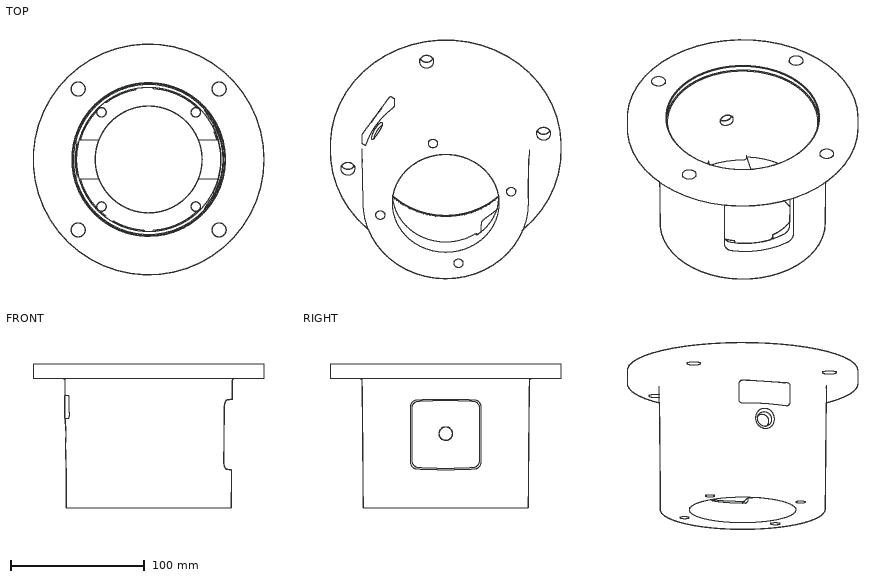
import cadquery as cq

flange_diameter = 173.0
total_height = 108.0
flange_thickness = 11.0
edge_round = 0.7

hub_top_radius = 62.8
hub_bottom_radius = 62.0
hub_root_fillet = 1.4

pilot_radius = 57.0
pilot_depth = 4.2
pilot_rim_chamfer = 0.5
pilot_seat_slope = 0.3
cavity_top_radius = 56.2
cavity_bottom_radius = 54.0
cavity_floor_fillet = 0.9
floor_thickness = 19.0
bore_radius = 40.0

channel_width = 29.0
channel_depth = 4.0
channel_corner_fillet = 2.2

flange_hole_diameter = 10.4
flange_hole_offset = 52.8
floor_hole_diameter = 7.0
floor_hole_offset = 35.3

window_width = 54.7
window_bottom = 28.5
window_top = 81.5
window_corner_radius = 5.2
window_draft = 8.0

port_inner_radius = 4.8
port_outer_radius = 5.5
port_mouth_radius = 7.8
port_mouth_depth = 1.5
port_height = 55.7

plate_width = 39.1
plate_bottom = 67.1
plate_top = 84.4
plate_face = 63.0
plate_corner_radius = 2.5
plate_edge_round = 0.9

flange_radius = flange_diameter / 2
flange_bottom = total_height - flange_thickness
pilot_bottom = total_height - pilot_depth
cavity_top = pilot_bottom - pilot_seat_slope
cavity_radius_middle = (cavity_top_radius + cavity_bottom_radius) / 2
window_depth = hub_top_radius - bore_radius
wall_middle_radius = (hub_bottom_radius + cavity_radius_middle) / 2


def make_outer_body():
    """Flange disc with rounded rims, joined to the tapered hub by a root fillet."""
    flange = (
        cq.Workplane("XY", origin=(0, 0, flange_bottom))
        .circle(flange_radius)
        .extrude(flange_thickness)
        .edges("%CIRCLE")
        .fillet(edge_round)
    )
    hub_profile = [
        (0, 0),
        (hub_bottom_radius, 0),
        (hub_top_radius, flange_bottom),
        (0, flange_bottom),
    ]
    hub = cq.Workplane("XZ").polyline(hub_profile).close().revolve(360, (0, 0), (0, 1))
    hub = hub.faces("<Z").edges().fillet(edge_round)
    body = hub.union(flange)
    flange_underside = body.faces("|Z").faces(">Z[-2]")
    root_edge = flange_underside.edges(cq.selectors.RadiusNthSelector(0))
    return root_edge.fillet(hub_root_fillet)


def make_cavity():
    """Pilot recess, sloped seat and tapered chamber down to the floor."""
    profile = [
        (0, floor_thickness),
        (cavity_bottom_radius, floor_thickness),
        (cavity_top_radius, cavity_top),
        (pilot_radius, pilot_bottom),
        (pilot_radius, total_height - pilot_rim_chamfer),
        (pilot_radius + pilot_rim_chamfer, total_height),
        (0, total_height),
    ]
    cavity = cq.Workplane("XZ").polyline(profile).close().revolve(360, (0, 0), (0, 1))
    return cavity.faces("<Z").edges().fillet(cavity_floor_fillet)


def make_channel():
    """Shallow channel with rounded bottom corners, ending at the chamber wall."""
    channel_bottom = floor_thickness - channel_depth
    height = channel_depth + cavity_floor_fillet
    block = (
        cq.Workplane("XY", origin=(0, 0, channel_bottom))
        .box(2 * cavity_bottom_radius, channel_width, height, centered=(True, True, False))
        .edges("|X and <Z")
        .fillet(channel_corner_fillet)
    )
    limit = cq.Workplane("XY", origin=(0, 0, channel_bottom)).circle(cavity_bottom_radius).extrude(height)
    return block.intersect(limit)


def make_diagonal_holes(offset, diameter):
    """Four vertical holes, one on each diagonal."""
    spacing = 2 * offset
    return cq.Workplane("XY").rarray(spacing, spacing, 2, 2).circle(diameter / 2).extrude(total_height)


def make_window():
    """Rounded rectangular opening, tapering inward along X through the +X wall only."""
    middle = (window_bottom + window_top) / 2
    return (
        cq.Workplane("YZ", origin=(hub_top_radius, 0, middle))
        .rect(window_width, window_top - window_bottom)
        .extrude(-window_depth, taper=window_draft)
        .edges("not (|Y or |Z)")
        .fillet(window_corner_radius)
    )


def make_port():
    """Slightly tapered round hole through the -X wall with a countersunk mouth outside."""
    mouth = -(hub_top_radius + hub_bottom_radius) / 2
    profile = [
        (-cavity_bottom_radius, 0),
        (-cavity_bottom_radius, port_inner_radius),
        (mouth + port_mouth_depth, port_outer_radius),
        (mouth, port_mouth_radius),
        (-flange_radius, port_mouth_radius),
        (-flange_radius, 0),
    ]
    section = cq.Workplane("XY", origin=(0, 0, port_height)).polyline(profile).close()
    return section.revolve(360, (0, 0), (1, 0))


def make_plate():
    """Flat rounded pad standing out of the curved -X wall."""
    middle = (plate_bottom + plate_top) / 2
    return (
        cq.Workplane("YZ", origin=(-plate_face, 0, middle))
        .rect(plate_width, plate_top - plate_bottom)
        .extrude(plate_face - wall_middle_radius)
        .edges("|X")
        .fillet(plate_corner_radius)
        .faces("<X")
        .edges()
        .fillet(plate_edge_round)
    )


bore = cq.Workplane("XY").circle(bore_radius).extrude(total_height)

result = (
    make_outer_body()
    .union(make_plate())
    .cut(make_cavity())
    .cut(make_channel())
    .cut(bore)
    .cut(make_window())
    .cut(make_port())
    .cut(make_diagonal_holes(flange_hole_offset, flange_hole_diameter))
    .cut(make_diagonal_holes(floor_hole_offset, floor_hole_diameter))
)